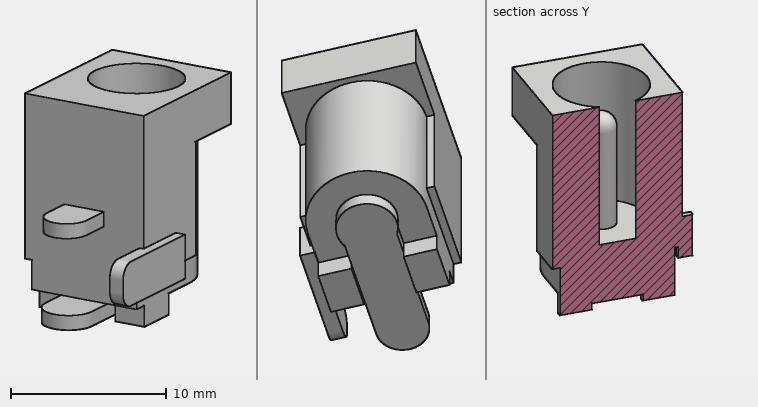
import cadquery as cq


housing_width = 9.0
housing_depth = 10.75
housing_height = 13.2
collar_height = 3.5
base_width = 7.95
base_height = 2.0
barrel_radius = base_width / 2
barrel_y = 6.37

socket_y = 6.44
socket_diameter = 6.3
socket_depth = 10.0
socket_floor_z = housing_height - socket_depth
pin_radius = 1.0
pin_tip_depth = 2.0
pin_root_length = 1.0

foot_height = 1.45
foot_length = 3.0
foot_front_y = 0.95
foot_gap = 3.5

terminal_thickness = 1.0
terminal_reach = 3.65
upper_terminal_width = 3.0
upper_terminal_root = 1.0
upper_terminal_drop = 7.0
upper_terminal_top = housing_height - upper_terminal_drop
lower_terminal_width = foot_gap
rivet_radius = 2.0
side_terminal_height = 3.0
side_terminal_drop = 9.0
side_terminal_top = housing_height - side_terminal_drop
side_terminal_back_y = 3.95
side_terminal_corner_radius = 1.0
side_terminal_outer_x = 5.2


def box(x_min, x_max, y_min, y_max, z_min, z_max):
    """Axis-aligned block between the given limits."""
    size = (x_max - x_min, y_max - y_min, z_max - z_min)
    return cq.Workplane("XY").box(*size, centered=False).translate((x_min, y_min, z_min))


def centred_block(width, y_min, y_max, z_min, z_max):
    """Block of the given width, symmetric about x = 0."""
    return box(-width / 2, width / 2, y_min, y_max, z_min, z_max)


def upright_cylinder(radius, y, z_min, z_max):
    """Vertical cylinder on x = 0 at the given y."""
    return cq.Workplane("XY", origin=(0, y, z_min)).circle(radius).extrude(z_max - z_min)


def make_housing():
    collar = centred_block(
        housing_width, 0, housing_depth, housing_height - collar_height, housing_height
    )
    front_block = centred_block(housing_width, 0, barrel_y, base_height, housing_height)
    base = centred_block(base_width, 0, barrel_y, 0, base_height)
    barrel = upright_cylinder(barrel_radius, barrel_y, 0, housing_height - collar_height)
    socket = upright_cylinder(socket_diameter / 2, socket_y, socket_floor_z, housing_height)
    return collar.union(front_block).union(base).union(barrel).cut(socket)


def make_centre_pin():
    """Pin rooted in the socket floor, with a hemispherical tip."""
    dome_z = housing_height - pin_tip_depth - pin_radius
    shank = upright_cylinder(pin_radius, socket_y, socket_floor_z - pin_root_length, dome_z)
    dome = cq.Workplane("XY").sphere(pin_radius).translate((0, socket_y, dome_z))
    return shank.union(dome)


def make_foot(side):
    """Foot under the base; side is -1 or +1 along X."""
    inner_x, outer_x = sorted((side * foot_gap / 2, side * base_width / 2))
    foot_back_y = foot_front_y + foot_length
    return box(inner_x, outer_x, foot_front_y, foot_back_y, -foot_height, 0)


def make_flat_terminal(width, back_y, top_z):
    """Horizontal tongue with a semicircular front end."""
    radius = width / 2
    shoulder_y = radius - terminal_reach
    return (
        cq.Workplane("XY", origin=(0, 0, top_z - terminal_thickness))
        .moveTo(-radius, back_y)
        .lineTo(-radius, shoulder_y)
        .threePointArc((0, -terminal_reach), (radius, shoulder_y))
        .lineTo(radius, back_y)
        .close()
        .extrude(terminal_thickness)
    )


def make_lower_terminal():
    """Tongue under the base that ends in a disc on the socket axis."""
    tongue = make_flat_terminal(lower_terminal_width, socket_y, 0)
    return tongue.union(upright_cylinder(rivet_radius, socket_y, -terminal_thickness, 0))


def make_side_terminal():
    """Upright blade let into the +X wall, rounded at its front corners."""
    blade = box(
        side_terminal_outer_x - terminal_thickness,
        side_terminal_outer_x,
        -terminal_reach,
        side_terminal_back_y,
        side_terminal_top - side_terminal_height,
        side_terminal_top,
    )
    return blade.faces("<Y").edges("|X").fillet(side_terminal_corner_radius)


result = (
    make_housing()
    .union(make_centre_pin())
    .union(make_flat_terminal(upper_terminal_width, upper_terminal_root, upper_terminal_top))
    .union(make_lower_terminal())
    .union(make_side_terminal())
)
for side in (-1, 1):
    result = result.union(make_foot(side))